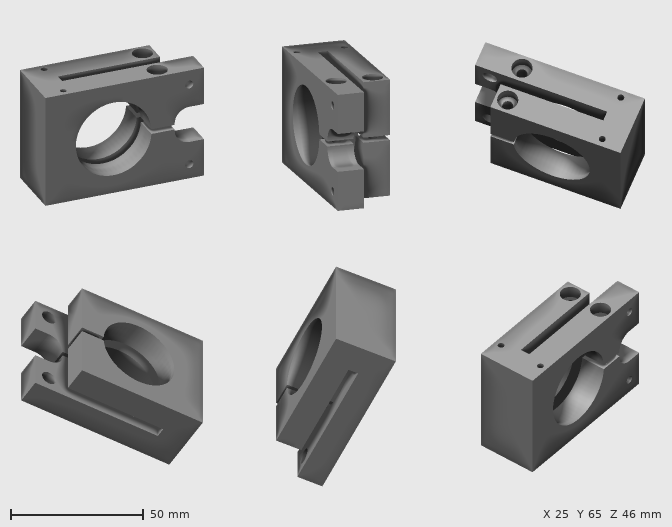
import cadquery as cq

thickness = 25.0
length = 65.0
height = 46.0
mid_z = height / 2

arm_thickness = 10.5
slot_width = thickness - 2 * arm_thickness
slot_start_y = 11.2
short_arm_end_y = 53.0
long_arm_x = arm_thickness + slot_width

bore_diameter = 31.0
bore_y = 28.0
slit_width = 2.0
slit_bottom_z = mid_z - slit_width / 2
slit_top_z = mid_z + slit_width / 2

notch_width = 15.0
notch_corner_radius = 6.0

mount_hole_diameter = 3.3
mount_counterbore_diameter = 6.0
mount_counterbore_depth = 5.0
mount_hole_y = (short_arm_end_y + length) / 2
mount_hole_spacing = 34.0

clamp_y = 48.0
clamp_arm_inset = 5.2
clamp_x_positions = (clamp_arm_inset, thickness - clamp_arm_inset)
clamp_counterbore_diameter = 8.0
clamp_counterbore_depth = 5.0
clamp_clearance_diameter = 4.2
clamp_thread_diameter = 3.3
clamp_thread_depth = 12.0

top_hole_diameter = 2.6
top_hole_depth = 8.0
top_hole_y = 8.6
top_hole_inset = 3.0
top_hole_x_positions = (top_hole_inset, thickness - top_hole_inset)


def box_between(x_range, y_range, z_range):
    """Axis-aligned box given by its limits along each axis."""
    size = [limits[1] - limits[0] for limits in (x_range, y_range, z_range)]
    corner = (x_range[0], y_range[0], z_range[0])
    return cq.Workplane("XY").box(*size, centered=False).translate(corner)


def hole_down(x, y, top_z, diameter, depth):
    """Vertical cylinder reaching down from top_z."""
    return cq.Workplane("XY", origin=(x, y, top_z)).circle(diameter / 2).extrude(-depth)


def hole_across(y, z, start_x, diameter, depth):
    """Cylinder along +X reaching from start_x."""
    return cq.Workplane("YZ", origin=(start_x, y, z)).circle(diameter / 2).extrude(depth)


def forked_block():
    """Block split into a short arm and a long arm."""
    block = box_between((0, thickness), (0, length), (0, height))
    slot = box_between((arm_thickness, long_arm_x), (slot_start_y, length), (0, height))
    short_arm_gap = box_between((0, arm_thickness), (short_arm_end_y, length), (0, height))
    return block.cut(slot).cut(short_arm_gap)


def clamp_opening():
    """Bore and slit through both arms."""
    bore = hole_across(bore_y, mid_z, 0, bore_diameter, thickness)
    slit = box_between((0, thickness), (bore_y, length), (slit_bottom_z, slit_top_z))
    return bore.union(slit)


def end_notch():
    """Notch in the long arm, rounded where its sides meet its floor."""
    notch = box_between(
        (long_arm_x, thickness),
        (short_arm_end_y, length),
        (mid_z - notch_width / 2, mid_z + notch_width / 2),
    )
    return notch.edges("|X and <Y").fillet(notch_corner_radius)


def mount_hole(z):
    """Through hole in the long arm, counterbored from the slot side."""
    through = hole_across(mount_hole_y, z, long_arm_x, mount_hole_diameter, arm_thickness)
    counterbore = hole_across(
        mount_hole_y, z, long_arm_x, mount_counterbore_diameter, mount_counterbore_depth
    )
    return through.union(counterbore)


def clamp_screw_hole(x):
    """Counterbored clearance hole above the slit, blind thread hole below it."""
    counterbore = hole_down(
        x, clamp_y, height, clamp_counterbore_diameter, clamp_counterbore_depth
    )
    clearance = hole_down(x, clamp_y, height, clamp_clearance_diameter, height - slit_top_z)
    thread = hole_down(x, clamp_y, slit_bottom_z, clamp_thread_diameter, clamp_thread_depth)
    return counterbore.union(clearance).union(thread)


result = forked_block().cut(clamp_opening()).cut(end_notch())

for hole_z in (mid_z - mount_hole_spacing / 2, mid_z + mount_hole_spacing / 2):
    result = result.cut(mount_hole(hole_z))

for screw_x in clamp_x_positions:
    result = result.cut(clamp_screw_hole(screw_x))

for hole_x in top_hole_x_positions:
    result = result.cut(hole_down(hole_x, top_hole_y, height, top_hole_diameter, top_hole_depth))